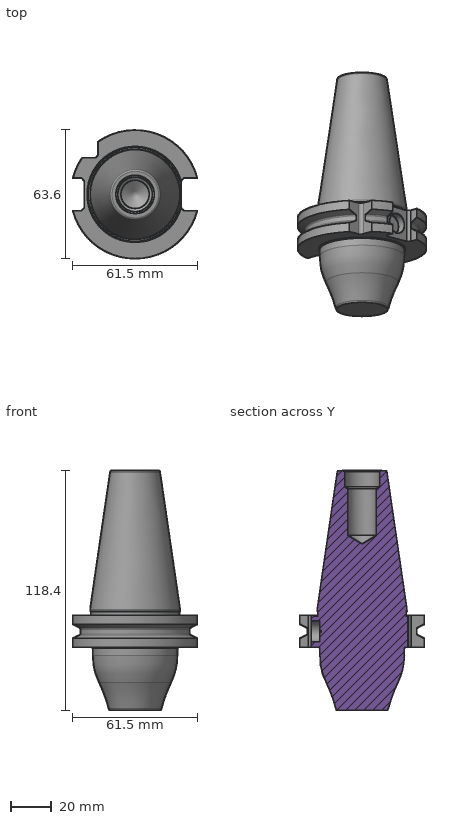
import cadquery as cq
import math

total_height = 118.4
gauge_height = 50.0
gauge_land = 1.1
flange_bottom = 31.0
flange_thickness = 16.0
flange_top = flange_bottom + flange_thickness
flange_middle = flange_bottom + flange_thickness / 2

gauge_radius = 22.3
taper_length = total_height - gauge_height
taper_end_radius = gauge_radius - taper_length * 7 / 48
taper_end_fillet = 1.0
neck_radius = 22.0
neck_step = gauge_radius - neck_radius

flange_radius = 63.6 / 2
groove_floor_radius = 28.2
groove_floor_width = 3.1
groove_mouth_width = 6.9
groove_floor_fillet = 0.7

relief_radius = 23.7
relief_depth = 0.5

nose_radius = 21.0
nose_flare = 0.5
nose_cylinder_bottom = 27.1
nose_bulge_bottom = 13.9
nose_bulge_radius = 17.9
nose_end_radius = 13.1
nose_chamfer_height = 1.1
nose_chamfer_width = 0.5

slot_width = 16.1
slot_chamfer = 1.4
left_slot_floor = -25.1
right_slot_floor = 22.7
notch_side_x = -18.4
notch_floor_y = 18.1
notch_fillet = 1.8

recess_radius = 5.0
recess_depth = 4.1
mark_radius = 0.4
mark_depth = 0.6

entry_radius = 8.5
entry_depth = 8.0
entry_chamfer_width = 1.0
entry_chamfer_height = 0.6
thread_radius = 7.0
thread_depth = 32.0
drill_tip_angle = math.radians(59)


def make_body():
    """Revolve the holder's complete outer outline."""
    groove_half_floor = groove_floor_width / 2
    groove_half_mouth = groove_mouth_width / 2

    bulge_height = nose_cylinder_bottom - nose_bulge_bottom
    bulge_inset = nose_radius - nose_bulge_radius
    bulge_slope = 2 * math.atan2(bulge_inset, bulge_height)
    bulge_arc_radius = bulge_height / math.sin(bulge_slope)
    bulge_middle = (
        nose_radius - bulge_arc_radius * (1 - math.cos(bulge_slope / 2)),
        nose_cylinder_bottom - bulge_arc_radius * math.sin(bulge_slope / 2),
    )

    outline = (
        cq.Workplane("XZ")
        .moveTo(0, total_height)
        .lineTo(taper_end_radius, total_height)
        .lineTo(gauge_radius, gauge_height)
        .lineTo(gauge_radius, gauge_height - gauge_land)
        .lineTo(neck_radius, gauge_height - gauge_land - neck_step)
        .lineTo(neck_radius, flange_top - relief_depth)
        .lineTo(relief_radius - relief_depth, flange_top - relief_depth)
        .lineTo(relief_radius, flange_top)
        .lineTo(flange_radius, flange_top)
        .lineTo(flange_radius, flange_middle + groove_half_mouth)
        .lineTo(groove_floor_radius, flange_middle + groove_half_floor)
        .lineTo(groove_floor_radius, flange_middle - groove_half_floor)
        .lineTo(flange_radius, flange_middle - groove_half_mouth)
        .lineTo(flange_radius, flange_bottom)
        .lineTo(nose_radius + nose_flare, flange_bottom)
        .lineTo(nose_radius, flange_bottom - nose_flare)
        .lineTo(nose_radius, nose_cylinder_bottom)
        .threePointArc(bulge_middle, (nose_bulge_radius, nose_bulge_bottom))
        .tangentArcPoint((nose_end_radius, nose_chamfer_height), relative=False)
        .lineTo(nose_end_radius - nose_chamfer_width, 0)
        .lineTo(0, 0)
        .close()
    )
    body = outline.revolve(360, (0, 0, 0), (0, 1, 0))
    body = body.faces(">Z").edges().fillet(taper_end_fillet)

    half_band = groove_half_floor + groove_floor_fillet / 2
    floor_corners = cq.selectors.BoxSelector(
        (-flange_radius, -flange_radius, flange_middle - half_band),
        (flange_radius, flange_radius, flange_middle + half_band),
        boundingbox=True,
    )
    groove_floor = body.edges(floor_corners).edges("%CIRCLE")
    return groove_floor.fillet(groove_floor_fillet)


def make_slot(floor_x):
    """Drive slot from a floor at floor_x outwards, with chamfered corners."""
    outward = math.copysign(1, floor_x)
    slot = cq.Workplane("XY").box(
        flange_radius, slot_width, flange_thickness
    ).edges("|Z and " + ("<X" if outward > 0 else ">X")).chamfer(slot_chamfer)
    return slot.translate((floor_x + outward * flange_radius / 2, 0, flange_middle))


def make_notch():
    """Orientation notch cut into the flange rim, with a rounded corner."""
    notch = cq.Workplane("XY").box(
        flange_radius, flange_radius, flange_thickness
    ).edges("|Z and >X and <Y").fillet(notch_fillet)
    return notch.translate(
        (notch_side_x - flange_radius / 2, notch_floor_y + flange_radius / 2, flange_middle)
    )


def make_slot_recess():
    """Flat-bottomed recess and centre mark running inward from the left slot."""
    start = cq.Workplane("YZ", origin=(left_slot_floor, 0, flange_middle))
    recess = start.circle(recess_radius).extrude(recess_depth)
    mark = start.circle(mark_radius).extrude(recess_depth + mark_depth)
    return recess.union(mark)


def make_draw_bar_hole():
    """Stepped hole with a chamfered mouth, conical step and conical drill tip."""
    thread_bottom = total_height - thread_depth
    tip_height = thread_radius / math.tan(drill_tip_angle)
    seat_height = (entry_radius - thread_radius) / math.tan(drill_tip_angle)
    return (
        cq.Workplane("XZ")
        .moveTo(0, total_height)
        .lineTo(entry_radius + entry_chamfer_width, total_height)
        .lineTo(entry_radius, total_height - entry_chamfer_height)
        .lineTo(entry_radius, total_height - entry_depth)
        .lineTo(thread_radius, total_height - entry_depth - seat_height)
        .lineTo(thread_radius, thread_bottom)
        .lineTo(0, thread_bottom - tip_height)
        .close()
        .revolve(360, (0, 0, 0), (0, 1, 0))
    )


result = (
    make_body()
    .cut(make_slot(left_slot_floor))
    .cut(make_slot(right_slot_floor))
    .cut(make_notch())
    .cut(make_slot_recess())
    .cut(make_draw_bar_hole())
)